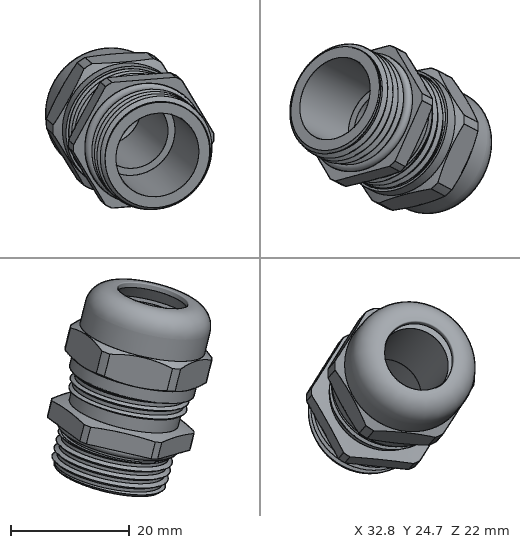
import cadquery as cq
import math


across_flats = 22.0

cap_length = 15.35
cap_diameter = 21.65
dome_radius = 3.87
mouth_diameter = 12.15
lip_diameter = 12.53
mouth_end = 0.92
cap_bore_diameter = 20.77
cap_hex_start = 7.75
cap_hex_end = 13.22
cap_hex_corner_diameter = 24.55
cap_hex_front_angle = 30.0
cap_hex_rear_angle = 24.0

insert_start = 3.28
insert_end = 18.83
insert_diameter = 16.65
insert_bore = 12.15

body_start = 9.2
body_end = 32.8
neck_diameter = 18.93
body_bore = 14.6
body_hex_start = 21.2
body_hex_end = 24.85
body_hex_corner_diameter = 24.7
body_hex_chamfer_angle = 12.0
undercut_diameter = 17.9

pitch = 1.5
flank_half_angle = 30.0
root_overlap = 0.1
trim_margin = 0.65
cap_thread_end = 18.83
cap_thread_root = 19.03
cap_thread_crest = 20.47
cap_thread_tip = 16.27
entry_thread_start = 26.67
entry_thread_root = 18.4
entry_thread_crest = 20.0
entry_thread_tip = 27.33

ring_end = 26.05
ring_diameter = 21.0


def cylinder(start, end, diameter):
    """Solid cylinder on the X axis."""
    return cq.Workplane("YZ", origin=(start, 0, 0)).circle(diameter / 2).extrude(end - start)


def cone(start, end, start_diameter, end_diameter):
    """Solid cone frustum on the X axis."""
    outline = [(start, 0), (start, start_diameter / 2), (end, end_diameter / 2), (end, 0)]
    return cq.Workplane("XY").polyline(outline).close().revolve(360, (0, 0, 0), (1, 0, 0))


def chamfer_length(inner_diameter, outer_diameter, angle):
    """Axial length of a conical chamfer between two diameters, angle measured from the end face."""
    return (outer_diameter - inner_diameter) / 2 * math.tan(math.radians(angle))


def hexagon(start, end):
    """Hexagonal prism with flats facing +Z and -Z."""
    across_corners = across_flats / math.cos(math.pi / 6)
    return cq.Workplane("YZ", origin=(start, 0, 0)).polygon(6, across_corners).extrude(end - start)


def thread_ridge(start, end, root, crest, tip):
    """Right-handed helical ridge, cut flat at both ends; its tip crosses +Z at X = tip."""
    inner = root / 2 - root_overlap
    half_width = (crest / 2 - inner) * math.tan(math.radians(flank_half_angle))
    turns_before = math.ceil((tip - start) / pitch) + 1
    turns_after = math.ceil((end - tip) / pitch) + 1
    helix_start = tip - turns_before * pitch
    helix = cq.Wire.makeHelix(pitch, (turns_before + turns_after) * pitch, inner)
    profile = [(inner, -half_width), (crest / 2, 0), (inner, half_width)]
    ridge = cq.Workplane("XZ").polyline(profile).close().sweep(cq.Workplane(helix), isFrenet=True)
    ridge = ridge.rotate((0, 0, 0), (1, 0, 1), 180).translate((helix_start, 0, 0))
    return ridge.intersect(cylinder(start, end, crest + trim_margin))


def make_cap():
    """Domed cap nut with a hexagon and a round-lipped, conical cavity."""
    shell = cylinder(0, cap_length, cap_diameter).faces("<X").edges().fillet(dome_radius)
    front_edge = cap_hex_start + chamfer_length(cap_diameter, cap_hex_corner_diameter, cap_hex_front_angle)
    rear_edge = cap_hex_end - chamfer_length(cap_diameter, cap_hex_corner_diameter, cap_hex_rear_angle)
    envelope = (
        cone(cap_hex_start, front_edge, cap_diameter, cap_hex_corner_diameter)
        .union(cylinder(front_edge, rear_edge, cap_hex_corner_diameter))
        .union(cone(rear_edge, cap_hex_end, cap_hex_corner_diameter, cap_diameter))
    )
    cavity = (
        cylinder(0, mouth_end, mouth_diameter)
        .union(cone(mouth_end, insert_start, mouth_diameter, insert_diameter))
        .union(cylinder(insert_start, body_start, insert_diameter))
        .union(cylinder(body_start, cap_length, cap_bore_diameter))
    )
    hexagon_part = hexagon(cap_hex_start, cap_hex_end).intersect(envelope)
    cap_nut = shell.union(hexagon_part).cut(cavity)
    mouth_edge = cq.selectors.RadiusNthSelector(0)
    return cap_nut.faces("<X").edges(mouth_edge).fillet((lip_diameter - mouth_diameter) / 2)


def make_insert():
    """Sealing sleeve gripped between the cap nut and the body."""
    sleeve = cylinder(insert_start, insert_end, insert_diameter)
    return sleeve.cut(cylinder(insert_start, insert_end, insert_bore))


def make_body():
    """Body with a hexagon between the cap thread and the entry thread."""
    chamfer = chamfer_length(neck_diameter, body_hex_corner_diameter, body_hex_chamfer_angle)
    envelope = cone(
        body_hex_start, body_hex_start + chamfer, neck_diameter, body_hex_corner_diameter
    ).union(cylinder(body_hex_start + chamfer, body_hex_end, body_hex_corner_diameter))
    hexagon_part = hexagon(body_hex_start, body_hex_end).intersect(envelope)

    cap_ridge = thread_ridge(
        body_start, cap_thread_end, cap_thread_root, cap_thread_crest, cap_thread_tip
    )
    taper_start = body_end - (entry_thread_crest - entry_thread_root) / 2
    entry_envelope = cylinder(entry_thread_start, taper_start, entry_thread_crest + trim_margin).union(
        cone(taper_start, body_end, entry_thread_crest, entry_thread_root)
    )
    entry_ridge = thread_ridge(
        entry_thread_start, body_end, entry_thread_root, entry_thread_crest, entry_thread_tip
    ).intersect(entry_envelope)

    return (
        cylinder(body_start, cap_thread_end, cap_thread_root)
        .union(cylinder(cap_thread_end, body_hex_start, neck_diameter))
        .union(hexagon_part)
        .union(cylinder(body_hex_end, entry_thread_start, undercut_diameter))
        .union(cylinder(entry_thread_start, body_end, entry_thread_root))
        .union(cap_ridge)
        .union(entry_ridge)
        .cut(cylinder(body_start, insert_end, insert_diameter))
        .cut(cylinder(insert_end, body_end, body_bore))
    )


def make_ring():
    """O-ring of round section resting on the undercut, flattened against the body's hexagon."""
    section_radius = (ring_diameter - undercut_diameter) / 4
    section_height = undercut_diameter / 2 + section_radius
    section_middle = ring_end - section_radius
    torus = (
        cq.Workplane("XY")
        .center(section_middle, section_height)
        .circle(section_radius)
        .revolve(360, (0, -section_height, 0), (1, -section_height, 0))
    )
    return torus.intersect(cylinder(body_hex_end, ring_end, ring_diameter + trim_margin))


cap = make_cap().solids()
insert = make_insert().solids()
body = make_body().solids()
ring = make_ring().solids()

result = cq.Compound.makeCompound([cap.val(), insert.val(), body.val(), ring.val()])